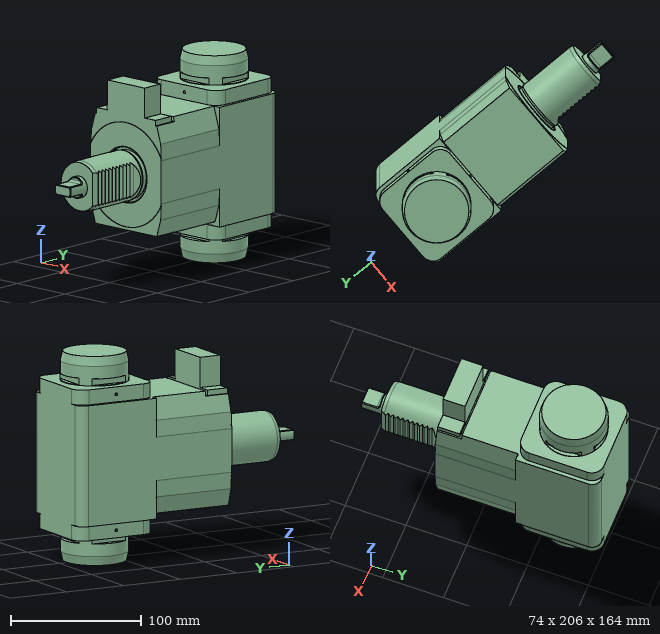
import cadquery as cq


length = 206.0
width = 74.0
height = 164.0
half_width = width / 2
half_height = height / 2
body_back = 134.1
shank_tip = body_back - length

plate_side = 68.0
plate_corner_radius = 10.0
plate_top = 59.1
housing_top = 47.4
housing_front = body_back - plate_side
housing_corner_radius = 7.6
spindle_y = body_back - plate_side / 2
pin_hole_diameter = 2.0
pin_hole_depth = 2.0

cap_diameter = 53.0
cap_end_diameter = 49.5
cap_taper_length = 7.5
cap_across_flats = 44.0
cap_rim = 0.5
cap_flat_height = 5.2

block_bottom = -43.9
upright_half_height = 17.0
facet_half_height = 30.0
facet_half_width = 36.3
side_slope = 0.3
face_disc_diameter = 82.6
face_disc_height = 0.2

key_seat_z = 43.7
key_seat_length = 20.0
key_length = 18.1
key_base_half_width = 31.0
key_base_top = 48.0
key_tab_width = 39.1
key_top = 71.7

shank_diameter = 40.0
neck_diameter = 38.7
neck_length = 1.6
neck_taper_end = -3.3
shank_end = -53.0
shank_chamfer_length = 3.0
shank_chamfer_depth = 0.8
recess_diameter = 43.3
recess_depth = 2.0
recess_chamfer = 0.6

tooth_pitch = 4.0
tooth_crest_x = 15.9
tooth_root_x = 14.5
tooth_end_x = 13.8
tooth_valley_count = 10
first_crest_y = -8.9
runout_y = -5.0

tang_diameter = 16.9
tang_shoulder_y = -57.3
tang_thickness = 8.2
tang_fillet = 1.9
tang_chamfer = 0.6


def box(x_min, x_max, y_min, y_max, z_min, z_max):
    """Axis-aligned box given by its limits."""
    size = (x_max - x_min, y_max - y_min, z_max - z_min)
    return cq.Workplane("XY").box(*size, centered=False).translate((x_min, y_min, z_min))


def y_cylinder(diameter, y_min, y_max):
    """Cylinder on the shank axis."""
    return cq.Workplane("XZ", origin=(0, y_max, 0)).circle(diameter / 2).extrude(y_max - y_min)


def make_housing():
    """Vertical housing with a rounded end plate at the top and bottom."""
    body = box(-half_width, half_width, housing_front, body_back, -housing_top, housing_top)
    body = body.edges("|Z and >Y").fillet(housing_corner_radius)
    plates = (
        cq.Workplane("XY", origin=(0, spindle_y, -plate_top))
        .rect(plate_side, plate_side)
        .extrude(2 * plate_top)
        .edges("|Z")
        .fillet(plate_corner_radius)
    )
    return body.union(plates)


def drill_pin_holes(body):
    """Small blind holes in the front and left faces of both end plates."""
    hole_z = (plate_top + housing_top) / 2
    for z in (-hole_z, hole_z):
        front = (
            cq.Workplane("XZ", origin=(0, housing_front + pin_hole_depth, z))
            .circle(pin_hole_diameter / 2)
            .extrude(pin_hole_depth)
        )
        left = (
            cq.Workplane("YZ", origin=(-plate_side / 2, spindle_y, z))
            .circle(pin_hole_diameter / 2)
            .extrude(pin_hole_depth)
        )
        body = body.cut(front).cut(left)
    return body


def make_top_cap():
    """Screw cap with a tapered end and four wrench flats at its foot."""
    flats_start = plate_top + cap_rim
    taper_start = half_height - cap_taper_length
    cap = (
        cq.Workplane("XZ")
        .moveTo(0, plate_top)
        .lineTo(cap_diameter / 2, plate_top)
        .lineTo(cap_diameter / 2, taper_start)
        .lineTo(cap_end_diameter / 2, half_height)
        .lineTo(0, half_height)
        .close()
        .revolve(360, (0, 0), (0, 1))
    )
    flats = (
        cq.Workplane("XY", origin=(0, 0, flats_start))
        .rect(2 * cap_diameter, 2 * cap_diameter)
        .rect(cap_across_flats, cap_across_flats)
        .extrude(cap_flat_height)
    )
    return cap.cut(flats).translate((0, spindle_y, 0))


def faceted_prism(prism_length):
    """Prism with the block's faceted section, reaching forward from the housing."""
    def outer_x(z):
        return facet_half_width - side_slope * (abs(z) - facet_half_height)

    right_side = [
        (outer_x(block_bottom), block_bottom),
        (facet_half_width, -facet_half_height),
        (half_width, -upright_half_height),
        (half_width, upright_half_height),
        (facet_half_width, facet_half_height),
        (outer_x(housing_top), housing_top),
    ]
    left_side = [(-x, z) for x, z in reversed(right_side)]
    outline = cq.Workplane("XZ", origin=(0, housing_front, 0)).polyline(right_side + left_side)
    return outline.close().extrude(prism_length)


def make_block():
    """Front block with a key seat on top and a shallow disc on its front face."""
    key_seat = box(-half_width, half_width, 0, key_seat_length, key_seat_z, housing_top)
    block = faceted_prism(housing_front).cut(key_seat)
    disc = y_cylinder(face_disc_diameter, -face_disc_height, key_length)
    disc = disc.intersect(faceted_prism(housing_front + face_disc_height))
    return block.union(disc)


def make_key():
    """Locating key: a wide base with a narrower upright tab."""
    base = box(-key_base_half_width, key_base_half_width, 0, key_length, key_seat_z, key_base_top)
    tab = box(-key_tab_width / 2, key_tab_width / 2, 0, key_length, key_seat_z, key_top)
    return base.union(tab)


def make_recess():
    """Chamfered ring-shaped recess around the root of the shank."""
    mouth_radius = recess_diameter / 2 + recess_chamfer
    mouth_y = -face_disc_height
    return (
        cq.Workplane("XY")
        .moveTo(0, recess_depth)
        .lineTo(recess_diameter / 2, recess_depth)
        .lineTo(recess_diameter / 2, mouth_y + recess_chamfer)
        .lineTo(mouth_radius, mouth_y)
        .lineTo(0, mouth_y)
        .close()
        .revolve(360, (0, 0), (0, 1))
    )


def make_shank():
    """Round shank with a thinner neck at its root and a chamfered end."""
    radius = shank_diameter / 2
    neck_radius = neck_diameter / 2
    return (
        cq.Workplane("XY")
        .moveTo(0, recess_depth)
        .lineTo(neck_radius, recess_depth)
        .lineTo(neck_radius, -neck_length)
        .lineTo(radius, neck_taper_end)
        .lineTo(radius, shank_end + shank_chamfer_length)
        .lineTo(radius - shank_chamfer_depth, shank_end)
        .lineTo(0, shank_end)
        .close()
        .revolve(360, (0, 0), (0, 1))
    )


def make_tooth_cutter():
    """Saw-toothed prism that leaves the clamping teeth on the shank."""
    points = [(shank_diameter / 2, runout_y), (tooth_crest_x, first_crest_y)]
    for i in range(tooth_valley_count):
        crest_y = first_crest_y - i * tooth_pitch
        points.append((tooth_root_x, crest_y - tooth_pitch / 2))
        points.append((tooth_crest_x, crest_y - tooth_pitch))
    points.append((tooth_end_x, shank_end))
    points.append((shank_diameter, shank_end))
    points.append((shank_diameter, runout_y))
    return (
        cq.Workplane("XY", origin=(0, 0, -shank_diameter))
        .polyline(points)
        .close()
        .extrude(2 * shank_diameter)
    )


def make_tang():
    """Round stub flattened above and below into a drive tang with broken edges."""
    half_thickness = tang_thickness / 2
    stub = y_cylinder(tang_diameter, shank_tip, shank_end)
    for side in (-1, 1):
        cutter = box(
            -tang_diameter, tang_diameter, shank_tip, tang_shoulder_y, half_thickness, tang_diameter
        )
        cutter = cutter.edges("|X and >Y and <Z").fillet(tang_fillet)
        if side < 0:
            cutter = cutter.mirror("XY")
        stub = stub.cut(cutter)
    return stub.edges("(not (|X or >Y)) or <Y").chamfer(tang_chamfer)


top_cap = make_top_cap()
result = drill_pin_holes(make_housing()).union(top_cap).union(top_cap.mirror("XY"))
result = result.union(make_block()).union(make_key()).cut(make_recess())
result = result.union(make_shank().cut(make_tooth_cutter())).union(make_tang())